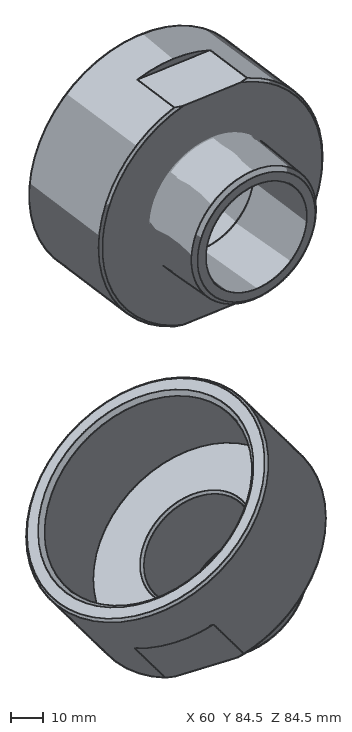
import cadquery as cq

total_length = 60.0

body_diameter = 84.5
body_length = 37.35
edge_chamfer = 0.85

socket_diameter = 72.25
socket_depth = 31.7
socket_chamfer = 1.4

bore_diameter = 38.0
bore_chamfer = 0.85

spigot_diameter = 48.2
spigot_straight_length = 3.55
spigot_taper = 1 / 16
spigot_end_chamfer = 1.35
spigot_root_fillet = 0.5

flat_start = 17.6
flat_distance = 40.0

body_radius = body_diameter / 2
socket_radius = socket_diameter / 2
bore_radius = bore_diameter / 2
spigot_radius = spigot_diameter / 2


def revolve_about_x(outline):
    """Turn a closed (X, radius) outline into a solid of revolution about X."""
    return outline.revolve(360, (0, 0, 0), (1, 0, 0))


def make_body():
    """Socket body: a cylinder with both rims chamfered."""
    body = cq.Workplane("YZ").circle(body_radius).extrude(body_length)
    return body.faces("<X or >X").edges().chamfer(edge_chamfer)


def make_spigot():
    """Spigot: straight collar with a root fillet, then a taper with a chamfered end.

    It starts at the socket floor so that it overlaps the body.
    """
    taper_start = body_length + spigot_straight_length
    taper_end = total_length - spigot_end_chamfer
    taper_end_radius = spigot_radius - (taper_end - taper_start) * spigot_taper / 2
    root_x = body_length + spigot_root_fillet
    root_radius = spigot_radius + spigot_root_fillet
    outline = (
        cq.Workplane("XY")
        .moveTo(socket_depth, 0)
        .lineTo(socket_depth, root_radius)
        .lineTo(body_length, root_radius)
        .radiusArc((root_x, spigot_radius), -spigot_root_fillet)
        .lineTo(taper_start, spigot_radius)
        .lineTo(taper_end, taper_end_radius)
        .lineTo(total_length, taper_end_radius - spigot_end_chamfer)
        .lineTo(total_length, 0)
        .close()
    )
    return revolve_about_x(outline)


def make_cavity():
    """Socket and through bore, each with a chamfered mouth."""
    points = [
        (0, 0),
        (0, socket_radius + socket_chamfer),
        (socket_chamfer, socket_radius),
        (socket_depth, socket_radius),
        (socket_depth, bore_radius + bore_chamfer),
        (socket_depth + bore_chamfer, bore_radius),
        (total_length, bore_radius),
        (total_length, 0),
    ]
    return revolve_about_x(cq.Workplane("XY").polyline(points).close())


def make_flat_cutter(side):
    """Block that leaves a flat on the body; side is +1 for above, -1 for below."""
    depth = body_radius - flat_distance
    length = body_length - flat_start
    return cq.Workplane("XY").box(length, body_diameter, depth).translate(
        (flat_start + length / 2, 0, side * (flat_distance + depth / 2))
    )


result = make_body().union(make_spigot()).cut(make_cavity())
for side in (1, -1):
    result = result.cut(make_flat_cutter(side))